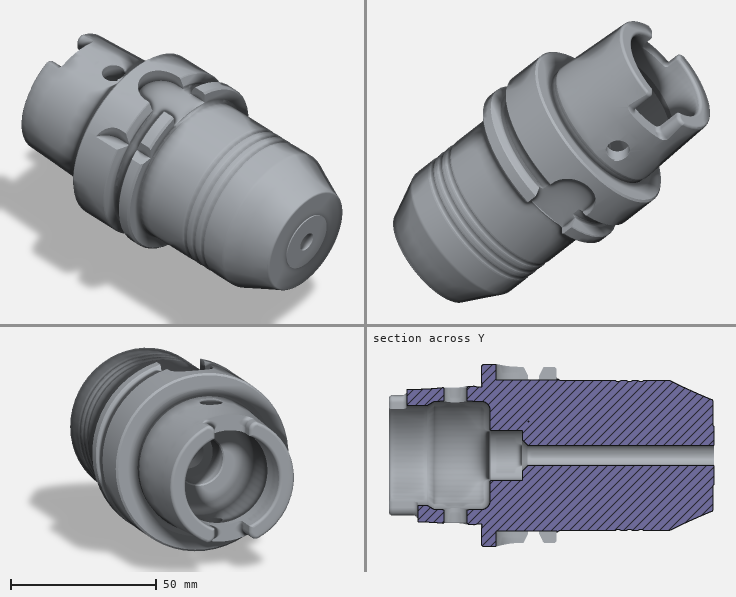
import cadquery as cq
import math

TOTAL_LENGTH = 111.9

TAPER_LENGTH = 29.3
TAPER_LARGE_R = 24.0
TAPER_SLOPE = 1 / 20
TAPER_SMALL_R = TAPER_LARGE_R - TAPER_LENGTH * TAPER_SLOPE
UNDERCUT_R = 23.6
UNDERCUT_LEAD_IN = 1.1
SHANK_RIM_ROUND = 1.0

FLANGE_R = 31.4
FLANGE_START = 31.7
FLANGE_LENGTH = 26.1
FLANGE_END = FLANGE_START + FLANGE_LENGTH
FLANGE_CHAMFER = 0.7
FACE_RECESS_R = 26.0
FACE_RECESS_FLOOR_R = 24.4
FACE_RECESS_DEPTH = 0.2
GRIP_GROOVE_X = FLANGE_START + 18.1
GRIP_GROOVE_FLOOR_R = 27.1
GRIP_GROOVE_CORNER_ROUND = 0.7
GRIP_GROOVE_FLANK_R = 28.4
GRIP_GROOVE_FLOOR_WIDTH = 3.8
GRIP_GROOVE_TOP_WIDTH = 6.5
GRIP_GROOVE_EDGE_BREAK = 0.3

BODY_R = 26.0
BODY_ROOT_ROUND = 1.0
NOSE_START = 96.3
NOSE_BLEND = 1.0
NOSE_TIP_R = 19.4
TIP_ROUND = 0.7
TIP_LIP_R = 10.3
TIP_LIP_HEIGHT = 0.5
TIP_FACE = TOTAL_LENGTH - TIP_LIP_HEIGHT

RING_STARTS = (77.3, 81.2, 85.2)
RING_WIDTH = 2.9
RING_DEPTH = 0.5
RING_EDGE_LENGTH = 0.6
RING_EDGE_DEPTH = 0.1

BORE_R = 17.1
BORE_LIP_LENGTH = 13.1
UNDERCUT_BORE_R = 18.6
UNDERCUT_ANGLE = 30
BORE_FLOOR_ROUND = 3.0
BORE_DEPTH = 34.7
COUNTERBORE_R = 8.5
COUNTERBORE_CHAMFER = 0.5
COUNTERBORE_DEPTH = 11.2
COOLANT_HOLE_R = 3.4
COOLANT_MOUTH_R = 5.3

DRIVE_SLOT_HALF_WIDTH = 6.3
DRIVE_SLOT_LEDGE = 20.7
DRIVE_SLOT_FLARE_R = 2.6
DRIVE_SLOT_FLOOR_ROUND = 1.5
DRIVE_SLOT_MOUTH_ROUND = 1.2
TOP_DRIVE_SLOT_DEPTH = 6.2
BOTTOM_DRIVE_SLOT_DEPTH = 9.8

CROSS_HOLE_X = 22.8
CROSS_HOLE_R = 3.9
CROSS_HOLE_BEVEL = 0.6
CROSS_HOLE_BEVEL_START = 23.2

KEYWAY_FLOOR = 26.1
KEYWAY_START = 36.8
TOP_KEYWAY_WIDTH = 15.9
BOTTOM_KEYWAY_WIDTH = 17.9
NOTCH_FLOOR_Z = 19.6
NOTCH_WALL_Y = -20.0
NOTCH_CUTTER_R = 7.8
NOTCH_CUTTER_X = 43.8

CLEARANCE = 5.6
ENVELOPE_HALF_WIDTH = FLANGE_R + CLEARANCE


def revolve_about_x(profile):
    return profile.close().revolve(360, (0, 0, 0), (1, 0, 0))


def to_underside(shape):
    return shape.rotate((0, 0, 0), (1, 0, 0), 180)


def turned_body():
    groove_floor_left = GRIP_GROOVE_X - GRIP_GROOVE_FLOOR_WIDTH / 2
    groove_floor_right = GRIP_GROOVE_X + GRIP_GROOVE_FLOOR_WIDTH / 2
    groove_top_left = GRIP_GROOVE_X - GRIP_GROOVE_TOP_WIDTH / 2
    groove_top_right = GRIP_GROOVE_X + GRIP_GROOVE_TOP_WIDTH / 2
    groove_corner_r = GRIP_GROOVE_FLOOR_R + GRIP_GROOVE_CORNER_ROUND
    root_round_mid = BODY_ROOT_ROUND * (1 - math.sqrt(0.5))
    tip_round_mid = TIP_ROUND * math.sqrt(0.5)
    nose_slope = (BODY_R - NOSE_TIP_R) / (TIP_FACE - TIP_ROUND - NOSE_START)
    blend_half = NOSE_BLEND / 2

    profile = (
        cq.Workplane("XY")
        .moveTo(0, 0)
        .lineTo(0, TAPER_SMALL_R)
        .lineTo(TAPER_LENGTH, TAPER_LARGE_R)
        .lineTo(TAPER_LENGTH + UNDERCUT_LEAD_IN, UNDERCUT_R)
        .lineTo(FLANGE_START + FACE_RECESS_DEPTH, UNDERCUT_R)
        .lineTo(FLANGE_START + FACE_RECESS_DEPTH, FACE_RECESS_FLOOR_R)
        .lineTo(FLANGE_START, FACE_RECESS_R)
        .lineTo(FLANGE_START, FLANGE_R - FLANGE_CHAMFER)
        .lineTo(FLANGE_START + FLANGE_CHAMFER, FLANGE_R)
        .lineTo(groove_top_left - GRIP_GROOVE_EDGE_BREAK, FLANGE_R)
        .lineTo(groove_top_left, FLANGE_R - GRIP_GROOVE_EDGE_BREAK)
        .lineTo(groove_floor_left, GRIP_GROOVE_FLANK_R)
        .lineTo(groove_floor_left, groove_corner_r)
        .radiusArc(
            (groove_floor_left + GRIP_GROOVE_CORNER_ROUND, GRIP_GROOVE_FLOOR_R),
            -GRIP_GROOVE_CORNER_ROUND,
        )
        .lineTo(groove_floor_right - GRIP_GROOVE_CORNER_ROUND, GRIP_GROOVE_FLOOR_R)
        .radiusArc(
            (groove_floor_right, groove_corner_r),
            -GRIP_GROOVE_CORNER_ROUND,
        )
        .lineTo(groove_floor_right, GRIP_GROOVE_FLANK_R)
        .lineTo(groove_top_right, FLANGE_R - GRIP_GROOVE_EDGE_BREAK)
        .lineTo(groove_top_right + GRIP_GROOVE_EDGE_BREAK, FLANGE_R)
        .lineTo(FLANGE_END - FLANGE_CHAMFER, FLANGE_R)
        .lineTo(FLANGE_END, FLANGE_R - FLANGE_CHAMFER)
        .lineTo(FLANGE_END, BODY_R + BODY_ROOT_ROUND)
        .threePointArc(
            (FLANGE_END + root_round_mid, BODY_R + root_round_mid),
            (FLANGE_END + BODY_ROOT_ROUND, BODY_R),
        )
        .lineTo(NOSE_START - blend_half, BODY_R)
        .tangentArcPoint((NOSE_START + blend_half, BODY_R - nose_slope * blend_half), relative=False)
        .lineTo(TIP_FACE - TIP_ROUND, NOSE_TIP_R)
        .threePointArc(
            (TIP_FACE - TIP_ROUND + tip_round_mid, NOSE_TIP_R - TIP_ROUND + tip_round_mid),
            (TIP_FACE, NOSE_TIP_R - TIP_ROUND),
        )
        .lineTo(TIP_FACE, TIP_LIP_R)
        .lineTo(TOTAL_LENGTH, TIP_LIP_R)
        .lineTo(TOTAL_LENGTH, 0)
    )
    return revolve_about_x(profile)


def ring_groove(start):
    edge_r = BODY_R - RING_EDGE_DEPTH
    end = start + RING_WIDTH
    profile = (
        cq.Workplane("XY")
        .moveTo(start, BODY_R)
        .lineTo(start + RING_EDGE_LENGTH, edge_r)
        .threePointArc((start + RING_WIDTH / 2, BODY_R - RING_DEPTH), (end - RING_EDGE_LENGTH, edge_r))
        .lineTo(end, BODY_R)
        .lineTo(end, BODY_R + 1.1)
        .lineTo(start, BODY_R + 1.1)
    )
    return revolve_about_x(profile)


def stepped_bore():
    counterbore_floor = BORE_DEPTH + COUNTERBORE_DEPTH
    undercut_length = (UNDERCUT_BORE_R - BORE_R) / math.tan(math.radians(UNDERCUT_ANGLE))
    mouth_depth = COOLANT_MOUTH_R - COOLANT_HOLE_R
    profile = (
        cq.Workplane("XY")
        .moveTo(0, 0)
        .lineTo(0, BORE_R)
        .lineTo(BORE_LIP_LENGTH, BORE_R)
        .lineTo(BORE_LIP_LENGTH + undercut_length, UNDERCUT_BORE_R)
        .lineTo(BORE_DEPTH - BORE_FLOOR_ROUND, UNDERCUT_BORE_R)
        .radiusArc((BORE_DEPTH, UNDERCUT_BORE_R - BORE_FLOOR_ROUND), BORE_FLOOR_ROUND)
        .lineTo(BORE_DEPTH, COUNTERBORE_R + COUNTERBORE_CHAMFER)
        .lineTo(BORE_DEPTH + COUNTERBORE_CHAMFER, COUNTERBORE_R)
        .lineTo(counterbore_floor, COUNTERBORE_R)
        .lineTo(counterbore_floor, COOLANT_MOUTH_R)
        .lineTo(counterbore_floor + mouth_depth, COOLANT_HOLE_R)
        .lineTo(TOTAL_LENGTH, COOLANT_HOLE_R)
        .lineTo(TOTAL_LENGTH, 0)
    )
    return revolve_about_x(profile)


def drive_slot(depth):
    """Slot above the axis whose walls flare out onto level ledges, with a rounded floor edge."""
    flare_start = DRIVE_SLOT_LEDGE - DRIVE_SLOT_FLARE_R
    flare_end = DRIVE_SLOT_HALF_WIDTH + DRIVE_SLOT_FLARE_R
    outer = ENVELOPE_HALF_WIDTH + CLEARANCE
    slot = (
        cq.Workplane("YZ", origin=(-CLEARANCE, 0, 0))
        .moveTo(-DRIVE_SLOT_HALF_WIDTH, 0)
        .lineTo(DRIVE_SLOT_HALF_WIDTH, 0)
        .lineTo(DRIVE_SLOT_HALF_WIDTH, flare_start)
        .radiusArc((flare_end, DRIVE_SLOT_LEDGE), DRIVE_SLOT_FLARE_R)
        .lineTo(outer, DRIVE_SLOT_LEDGE)
        .lineTo(outer, outer)
        .lineTo(-outer, outer)
        .lineTo(-outer, DRIVE_SLOT_LEDGE)
        .lineTo(-flare_end, DRIVE_SLOT_LEDGE)
        .radiusArc((-DRIVE_SLOT_HALF_WIDTH, flare_start), DRIVE_SLOT_FLARE_R)
        .close()
        .extrude(CLEARANCE + depth)
    )
    return slot.faces(">X").edges().fillet(DRIVE_SLOT_FLOOR_ROUND)


def slotted_envelope():
    """Block around the whole part with both drive slots cut into its front and their mouths rounded."""
    width = 2 * ENVELOPE_HALF_WIDTH
    block = cq.Workplane("XY").box(TOTAL_LENGTH + CLEARANCE, width, width, centered=(False, True, True))
    block = block.cut(drive_slot(TOP_DRIVE_SLOT_DEPTH))
    block = block.cut(to_underside(drive_slot(BOTTOM_DRIVE_SLOT_DEPTH)))
    return block.faces("<X").edges().fillet(DRIVE_SLOT_MOUTH_ROUND)


def cross_hole():
    reach = TAPER_LARGE_R + CLEARANCE
    hole = cq.Workplane("XY").center(CROSS_HOLE_X, 0).circle(CROSS_HOLE_R).extrude(reach, both=True)
    for side in (1, -1):
        bevel = cq.Solid.makeCone(
            CROSS_HOLE_R,
            CROSS_HOLE_R + CROSS_HOLE_BEVEL,
            CROSS_HOLE_BEVEL,
            cq.Vector(CROSS_HOLE_X, 0, side * CROSS_HOLE_BEVEL_START),
            cq.Vector(0, 0, side),
        )
        hole = hole.union(cq.Workplane(bevel))
    return hole


def keyway(width):
    """Round-ended keyway milled flat into the top of the flange, open toward the body."""
    end_center = KEYWAY_START + width / 2
    return (
        cq.Workplane("XY", origin=(0, 0, KEYWAY_FLOOR))
        .moveTo(end_center, width / 2)
        .threePointArc((KEYWAY_START, 0), (end_center, -width / 2))
        .lineTo(FLANGE_END, -width / 2)
        .lineTo(FLANGE_END, width / 2)
        .close()
        .extrude(FLANGE_R)
    )


def index_notch():
    """Corner notch with a level floor and an upright wall that ends in a cutter radius."""
    cutter_y = NOTCH_WALL_Y - NOTCH_CUTTER_R
    outer_y = -FLANGE_R - CLEARANCE
    cutter_left = NOTCH_CUTTER_X - NOTCH_CUTTER_R
    return (
        cq.Workplane("XY", origin=(0, 0, NOTCH_FLOOR_Z))
        .moveTo(cutter_left, outer_y)
        .lineTo(cutter_left, cutter_y)
        .radiusArc((NOTCH_CUTTER_X, NOTCH_WALL_Y), NOTCH_CUTTER_R)
        .lineTo(FLANGE_END, NOTCH_WALL_Y)
        .lineTo(FLANGE_END, outer_y)
        .close()
        .extrude(FLANGE_R)
    )


holder = turned_body().cut(stepped_bore())
holder = holder.faces("<X").edges().fillet(SHANK_RIM_ROUND)
holder = holder.intersect(slotted_envelope())
holder = holder.cut(cross_hole())

for ring_start in RING_STARTS:
    holder = holder.cut(ring_groove(ring_start))

holder = holder.cut(keyway(TOP_KEYWAY_WIDTH))
holder = holder.cut(to_underside(keyway(BOTTOM_KEYWAY_WIDTH)))
result = holder.cut(index_notch())